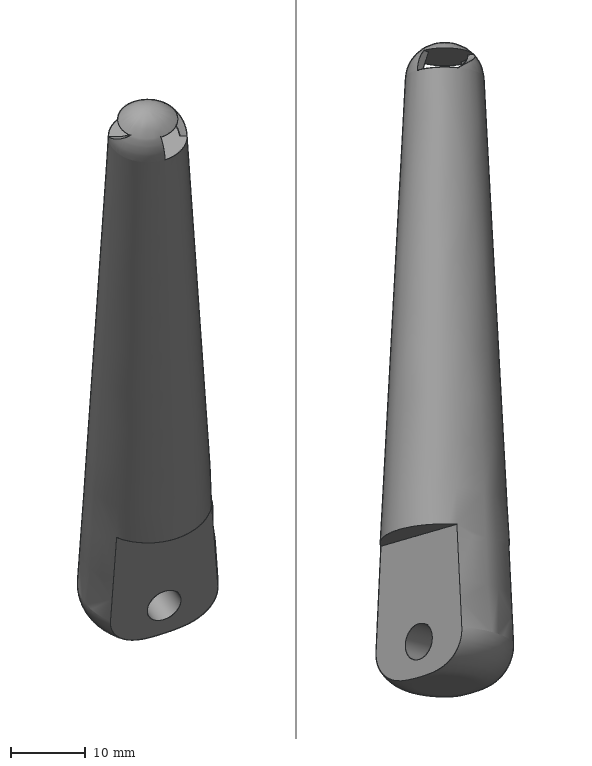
import cadquery as cq
import math

LENGTH = 90.0
BASE_RADIUS = 9.7
TIP_RADIUS = 5.0
END_FILLET = 5.0

TANG_HEIGHT = 20.0
TANG_THICKNESS = 10.0
HOLE_DIAMETER = 5.0
HOLE_HEIGHT = 5.0

EYE_FLOOR = 85.2
EYE_CEILING = 88.3
CHAMBER_FLOOR_RADIUS = 4.3
CHAMBER_CEILING_RADIUS = 3.15
WINDOW_START = 180.0
WINDOW_FLOOR_ANGLE = 64.0
WINDOW_CEILING_ANGLE = 118.0
WINDOW_COUNT = 2

CLEARANCE = 2 * BASE_RADIUS


def make_shank():
    """Tapered round bar along Z with both end rims rounded over."""
    profile = [(0, 0), (BASE_RADIUS, 0), (TIP_RADIUS, LENGTH), (0, LENGTH)]
    bar = cq.Workplane("XZ").polyline(profile).close().revolve(360, (0, 0), (0, 1))
    return bar.faces("<Z or >Z").edges().fillet(END_FILLET)


def make_tang_cheek(side):
    """Block that removes the material outside one flat of the tang; side is +1 or -1."""
    center_x = side * (TANG_THICKNESS + CLEARANCE) / 2
    return (
        cq.Workplane("XY")
        .box(CLEARANCE, 2 * CLEARANCE, TANG_HEIGHT, centered=(True, True, False))
        .translate((center_x, 0, 0))
    )


def make_cross_hole():
    """Round hole along X through both flats."""
    return (
        cq.Workplane("YZ")
        .center(0, HOLE_HEIGHT)
        .circle(HOLE_DIAMETER / 2)
        .extrude(CLEARANCE, both=True)
    )


def wedge_points(start, opening):
    """Plan triangle with its point on the axis, opening counter-clockwise from start (degrees)."""
    rays = [math.radians(start), math.radians(start + opening)]
    return [(0, 0)] + [(CLEARANCE * math.cos(ray), CLEARANCE * math.sin(ray)) for ray in rays]


def make_window(start):
    """Window with one upright side and one slanted side, wider at the ceiling."""
    return (
        cq.Workplane("XY", origin=(0, 0, EYE_FLOOR))
        .polyline(wedge_points(start, WINDOW_FLOOR_ANGLE))
        .close()
        .workplane(offset=EYE_CEILING - EYE_FLOOR)
        .polyline(wedge_points(start, WINDOW_CEILING_ANGLE))
        .close()
        .loft(ruled=True)
    )


def make_eye():
    """Tapered chamber under the tip joined to its evenly spaced windows."""
    eye = (
        cq.Workplane("XY", origin=(0, 0, EYE_FLOOR))
        .circle(CHAMBER_FLOOR_RADIUS)
        .workplane(offset=EYE_CEILING - EYE_FLOOR)
        .circle(CHAMBER_CEILING_RADIUS)
        .loft(ruled=True)
    )
    for index in range(WINDOW_COUNT):
        eye = eye.union(make_window(WINDOW_START + index * 360 / WINDOW_COUNT))
    return eye


result = make_shank()
for side in (-1, 1):
    result = result.cut(make_tang_cheek(side))
result = result.cut(make_cross_hole())
result = result.cut(make_eye())